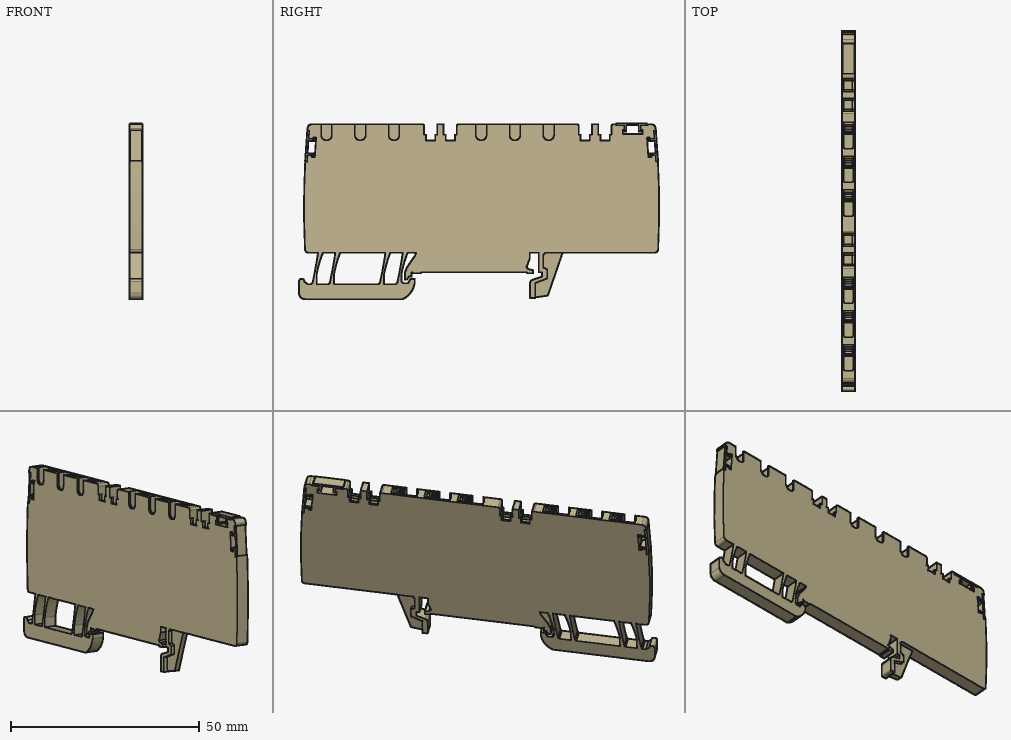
import cadquery as cq
import math

THICK = 3.5
HOUSING_HALF = 47.2
HOUSING_BOTTOM = 12.4
HOUSING_TOP = 46.6
END_RADIUS = 229.9
END_PEAK_Z = 24.4
BOTTOM_CORNER = 1.0
TOP_CORNER = 1.2

GROUP_JUMPER_YS = (30.2, -10.9)
CLAMP_COUNT = 3
CLAMP_SPAN = 17.9
CLAMP_PITCH = CLAMP_SPAN / (CLAMP_COUNT - 1)
JUMPER_TO_CLAMP = 7.3

POST_HALF = 0.9
SLOT_LOW_INNER = 1.4
SLOT_LOW_OUTER = 3.8
SLOT_OUTER = 4.3
SLOT_SHOULDER = 2.8
SLOT_DEPTH = 4.3
SLOT_EDGE_ROUND = 0.6
PIT_X_MIN = -1.2
PIT_X_MAX = 1.0
PIT_DEPTH = 5.3

BUTTON_WIDTH = 2.5
BUTTON_LENGTH = 2.8
BUTTON_HEIGHT = 5.75
GROOVE_WIDTH = 2.0
GROOVE_START = 0.6
GROOVE_END = 2.4
GROOVE_FLOOR = 0.6
GROOVE_DEPTH = 0.8
ENTRY_GAP = 0.4
ENTRY_LENGTH = 3.8
ENTRY_DEPTH = 5.75
ENTRY_CORNER = 0.5
RELIEF_LENGTH = 2.9
RELIEF_DEPTH = 4.3

TAG_WIDTH = 3.1
TAG_LENGTH = 8.3
TAG_THICK = 0.6
TAG_BEVEL = 0.3
TAG_PROUD = 0.3
TAG_TOP_Y = 39.95
TAG_END_Z = 40.7
LEG_THICK = 0.6
LEG_LENGTH = 1.7
WINDOW_OFFSET = 0.2
WINDOW_NECK_HALF = 2.2
WINDOW_UNDERCUT_HALF = 2.6
NECK_DEPTH = 1.2
TOP_WINDOW_DEPTH = 2.3
END_WINDOW_DEPTH = 1.9

WEB_THICK = 1.4
LATCH_KNEE_RADIUS = 1.15
LATCH_TIP_RADIUS = 0.3
LATCH_WEB_RADIUS = 0.6

SLIDER_END = -48.6
SLIDER_FLOOR = 4.0
SLIDER_LIP = 5.5
SLIDER_CORNER = 1.7
SPRING_TOP_WIDTH = 1.3
SPRING_OUTER_LEAN = 1.4
SPRING_INNER_LEAN = 1.6
SPRING_TOE = 0.4
FIRST_SPRING_Y = -21.0
SPRING_PAIR_PITCH = 4.6
SPRING_PAIR_SPACING = 17.9


def end_face_y(z):
    """Y of the bulged +Y end face at height z."""
    return HOUSING_HALF - END_RADIUS + math.sqrt(END_RADIUS ** 2 - (z - END_PEAK_Z) ** 2)


def profile(points, width=THICK):
    """Closed straight-sided (Y, Z) outline extruded symmetrically in X."""
    return cq.Workplane("YZ").polyline(points).close().extrude(width / 2, both=True)


def round_corner(shape, y, z, radius):
    """Fillet the one edge along X nearest to (y, z)."""
    corner = cq.selectors.NearestToPointSelector((0, y, z))
    return shape.edges("|X").edges(corner).fillet(radius)


def block(x_min, x_max, y_min, y_max, z_min, z_max):
    size = (x_max - x_min, y_max - y_min, z_max - z_min)
    return cq.Workplane("XY").box(*size, centered=False).translate((x_min, y_min, z_min))


def tag():
    half = TAG_LENGTH / 2
    plate = profile([
        (-half, -TAG_THICK),
        (-half, 0),
        (half - TAG_BEVEL, 0),
        (half, -TAG_THICK),
    ], TAG_WIDTH)
    leg_middle = WINDOW_NECK_HALF - LEG_THICK / 2
    for side in (-1, 1):
        leg = cq.Workplane("XY").box(TAG_WIDTH, LEG_THICK, LEG_LENGTH)
        leg_y = WINDOW_OFFSET + side * leg_middle
        plate = plate.union(leg.translate((0, leg_y, -TAG_THICK - LEG_LENGTH / 2)))
    return plate


def tag_recess(window_depth):
    """Seat for the plate, open outwards, with the undercut window below it."""
    half = TAG_LENGTH / 2
    seat = profile([
        (-half, -TAG_THICK),
        (-half, TAG_THICK),
        (half - TAG_BEVEL, TAG_THICK),
        (half - TAG_BEVEL, 0),
        (half, -TAG_THICK),
    ])
    neck_bottom = -TAG_THICK - NECK_DEPTH
    floor = -TAG_THICK - window_depth
    window = profile([
        (-WINDOW_NECK_HALF, -TAG_THICK),
        (-WINDOW_NECK_HALF, neck_bottom),
        (-WINDOW_UNDERCUT_HALF, neck_bottom),
        (-WINDOW_UNDERCUT_HALF, floor),
        (WINDOW_UNDERCUT_HALF, floor),
        (WINDOW_UNDERCUT_HALF, neck_bottom),
        (WINDOW_NECK_HALF, neck_bottom),
        (WINDOW_NECK_HALF, -TAG_THICK),
    ])
    return seat.union(window.translate((0, WINDOW_OFFSET, 0)))


def place_on_top(shape):
    return shape.translate((0, TAG_TOP_Y, HOUSING_TOP + TAG_PROUD))


def place_on_end(shape):
    """Turn a tag shape onto the +Y end face, tilted to follow its bulge."""
    tilt = math.degrees(math.asin((TAG_END_Z - END_PEAK_Z) / END_RADIUS))
    turned = shape.rotate((0, 0, 0), (1, 0, 0), tilt - 90)
    return turned.translate((0, end_face_y(TAG_END_Z), TAG_END_Z))


def clamp_ys():
    """Y of the +Y face of every button."""
    return [
        jumper_y - JUMPER_TO_CLAMP - index * CLAMP_PITCH
        for jumper_y in GROUP_JUMPER_YS
        for index in range(CLAMP_COUNT)
    ]


def button_blank(y):
    half = BUTTON_WIDTH / 2
    return block(-half, half, y - BUTTON_LENGTH, y, HOUSING_TOP - BUTTON_HEIGHT, HOUSING_TOP)


def button(y):
    """Button with a tapered screwdriver groove in its top."""
    middle = y - (GROOVE_START + GROOVE_END) / 2
    groove = profile([
        (y - GROOVE_START, HOUSING_TOP),
        (middle + GROOVE_FLOOR / 2, HOUSING_TOP - GROOVE_DEPTH),
        (middle - GROOVE_FLOOR / 2, HOUSING_TOP - GROOVE_DEPTH),
        (y - GROOVE_END, HOUSING_TOP),
    ], GROOVE_WIDTH)
    return button_blank(y).cut(groove)


def housing_plate():
    top_y = end_face_y(HOUSING_TOP)
    bottom_y = end_face_y(HOUSING_BOTTOM)
    plate = (
        cq.Workplane("YZ")
        .moveTo(-bottom_y, HOUSING_BOTTOM)
        .lineTo(bottom_y, HOUSING_BOTTOM)
        .threePointArc((HOUSING_HALF, END_PEAK_Z), (top_y, HOUSING_TOP))
        .lineTo(-top_y, HOUSING_TOP)
        .threePointArc((-HOUSING_HALF, END_PEAK_Z), (-bottom_y, HOUSING_BOTTOM))
        .close()
        .extrude(THICK / 2, both=True)
    )
    plate = plate.edges("|X and >Z").fillet(TOP_CORNER)
    return plate.edges("|X and <Z").fillet(BOTTOM_CORNER)


def jumper_slot(center_y, side):
    """Stepped slot through the full width with a deeper, taper-ended pit inside it."""
    def at(offset, depth):
        return (center_y + side * offset, HOUSING_TOP - depth)

    arc_inset = SLOT_EDGE_ROUND * (1 - math.sqrt(0.5))
    slot = (
        cq.Workplane("YZ")
        .polyline([
            at(SLOT_OUTER + SLOT_EDGE_ROUND, 0),
            at(POST_HALF, 0),
            at(POST_HALF, SLOT_SHOULDER),
            at(SLOT_LOW_INNER, SLOT_SHOULDER),
            at(SLOT_LOW_INNER, SLOT_DEPTH),
            at(SLOT_LOW_OUTER, SLOT_DEPTH),
            at(SLOT_LOW_OUTER, SLOT_SHOULDER),
            at(SLOT_OUTER, SLOT_SHOULDER),
            at(SLOT_OUTER, SLOT_EDGE_ROUND),
        ])
        .threePointArc(at(SLOT_OUTER + arc_inset, arc_inset), at(SLOT_OUTER + SLOT_EDGE_ROUND, 0))
        .close()
        .extrude(THICK / 2, both=True)
    )
    pit = (
        cq.Workplane("YZ", origin=(PIT_X_MIN, 0, 0))
        .polyline([
            at(POST_HALF, SLOT_SHOULDER),
            at(SLOT_LOW_INNER, PIT_DEPTH),
            at(SLOT_LOW_OUTER, PIT_DEPTH),
            at(SLOT_OUTER, SLOT_SHOULDER),
        ])
        .close()
        .extrude(PIT_X_MAX - PIT_X_MIN)
    )
    return slot.union(pit)


def wire_entry(y):
    """Pocket beside a button, rounded at its -Y end and notched open through the +X wall."""
    entry_y = y - BUTTON_LENGTH - ENTRY_GAP - ENTRY_LENGTH
    half = BUTTON_WIDTH / 2
    pocket = block(-half, half, entry_y, entry_y + ENTRY_LENGTH, HOUSING_TOP - ENTRY_DEPTH, HOUSING_TOP)
    pocket = pocket.edges("|Z and <Y").fillet(ENTRY_CORNER)

    middle = entry_y + ENTRY_LENGTH / 2
    radius = RELIEF_LENGTH / 2
    arc_z = HOUSING_TOP - RELIEF_DEPTH + radius
    relief = (
        cq.Workplane("YZ")
        .moveTo(middle - radius, HOUSING_TOP)
        .lineTo(middle - radius, arc_z)
        .threePointArc((middle, HOUSING_TOP - RELIEF_DEPTH), (middle + radius, arc_z))
        .lineTo(middle + radius, HOUSING_TOP)
        .close()
        .extrude(THICK / 2)
    )
    return pocket.union(relief)


def latch():
    """Hooked full-width rib backed by a thinner triangular web."""
    rib = profile([
        (16.9, HOUSING_BOTTOM),
        (16.4, 11.7),
        (16.4, 8.4),
        (17.4, 7.95),
        (17.4, 5.6),
        (14.3, 4.3),
        (14.3, 0.3),
        (12.8, 0.3),
        (12.8, 5.0),
        (16.0, 6.0),
        (16.0, 7.2),
        (15.1, 7.2),
        (15.1, HOUSING_BOTTOM),
    ])
    web = profile([
        (21.6, HOUSING_BOTTOM),
        (17.6, 1.0),
        (14.3, 0.5),
        (14.3, 4.3),
        (17.4, 5.6),
        (17.4, 7.95),
        (16.4, 8.4),
        (16.4, HOUSING_BOTTOM),
    ], WEB_THICK)
    rib = round_corner(rib, 12.8, 5.0, LATCH_KNEE_RADIUS)
    rib = round_corner(rib, 12.8, 0.3, LATCH_TIP_RADIUS)
    web = round_corner(web, 17.6, 1.0, LATCH_WEB_RADIUS)
    return rib.union(web)


def rail_foot():
    """Block that sits on the rail, with a lip at +Y and a hook at -Y."""
    return profile([
        (12.8, HOUSING_BOTTOM),
        (12.8, 10.8),
        (12.0, 8.5),
        (12.5, 8.0),
        (13.7, 7.8),
        (13.7, 6.9),
        (12.3, 6.9),
        (11.9, 7.2),
        (-16.0, 7.2),
        (-16.3, 6.9),
        (-18.2, 6.9),
        (-18.6, 7.2),
        (-18.6, 6.0),
        (-19.3, 6.0),
        (-19.8, 5.2),
        (-20.4, 5.2),
        (-20.4, 7.1),
        (-19.8, 8.5),
        (-17.7, 11.6),
        (-17.4, HOUSING_BOTTOM),
    ])


def spring(y):
    """Curved leg from the housing down to the slider; y is its outer edge at the top."""
    outer_foot = y - SPRING_OUTER_LEAN
    inner_top = y + SPRING_TOP_WIDTH
    inner_foot = inner_top - SPRING_INNER_LEAN
    return (
        cq.Workplane("YZ")
        .moveTo(y, HOUSING_BOTTOM)
        .threePointArc((y - 0.6, 8.8), (outer_foot, SLIDER_FLOOR + SPRING_TOE))
        .lineTo(outer_foot - SPRING_TOE, SLIDER_FLOOR)
        .lineTo(inner_foot, SLIDER_FLOOR)
        .lineTo(inner_foot, 6.7)
        .threePointArc((y + 0.4, 9.6), (inner_top, HOUSING_BOTTOM))
        .close()
        .extrude(THICK / 2, both=True)
    )


def slider():
    """Bar under the springs, with a hook mouth at +Y and an upturned lip at -Y."""
    bar = (
        cq.Workplane("YZ")
        .polyline([
            (-17.7, 4.4),
            (-17.7, 5.5),
            (-18.9, 5.5),
            (-19.5, 4.3),
            (-20.8, 4.3),
            (-21.3, 4.8),
            (-22.5, SLIDER_FLOOR),
            (-46.2, SLIDER_FLOOR),
            (-47.0, 4.7),
        ])
        .threePointArc((-47.9, SLIDER_LIP), (SLIDER_END, 4.8))
        .lineTo(SLIDER_END, 0)
        .lineTo(-21.0, 0)
        .threePointArc((-18.8, 1.8), (-17.7, 4.4))
        .close()
        .extrude(THICK / 2, both=True)
    )
    bar = round_corner(bar, SLIDER_END, 0, SLIDER_CORNER)
    for pair in (0, 1):
        for leg in (0, 1):
            spring_y = FIRST_SPRING_Y - pair * SPRING_PAIR_SPACING - leg * SPRING_PAIR_PITCH
            bar = bar.union(spring(spring_y))
    return bar


def make_housing():
    body = housing_plate().union(latch()).union(rail_foot()).union(slider())
    for jumper_y in GROUP_JUMPER_YS:
        for side in (-1, 1):
            body = body.cut(jumper_slot(jumper_y, side))
    for y in clamp_ys():
        body = body.cut(button_blank(y)).cut(wire_entry(y))
    end_recess = place_on_end(tag_recess(END_WINDOW_DEPTH))
    body = body.cut(place_on_top(tag_recess(TOP_WINDOW_DEPTH)))
    return body.cut(end_recess).cut(end_recess.mirror("XZ"))


housing = make_housing()
top_tag = place_on_top(tag())
back_tag = place_on_end(tag())
front_tag = back_tag.mirror("XZ")
buttons = [button(y) for y in clamp_ys()]

result = cq.Compound.makeCompound([
    housing.val(),
    top_tag.val(),
    back_tag.val(),
    front_tag.val(),
    *[item.val() for item in buttons],
])